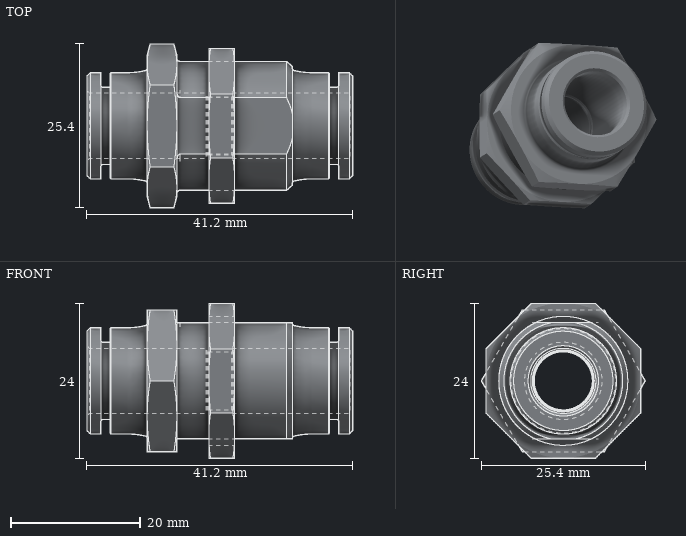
import cadquery as cq
import math

LENGTH = 41.2
MID_X = LENGTH / 2

COLLAR_R = 8.25
COLLAR_END_X = 2.2
COLLAR_CHAMFER = 0.55

GROOVE_R = 6.0
GROOVE_FILLET = 0.3
GROOVE_END_X = 3.6

SLEEVE_R = COLLAR_R
SLEEVE_CHAMFER = 0.15
FLARE_START_X = 6.35
FLARE_R = 8.55
BODY_X = 9.35
SLEEVE_FILLET = 0.4

BODY_R = 10.0
BODY_END_X = LENGTH - BODY_X
BODY_CHAMFER_LENGTH = 0.9
BODY_CHAMFER_DEPTH = 0.8
ACROSS_BODY_FLATS = 18.0

HEX_ACROSS_FLATS = 22.0
HEX_WIDTH = 4.6
HEX_END_X = BODY_X + HEX_WIDTH
HEX_FILLET = 0.5

NUT_ACROSS_FLATS = 24.0
NUT_WIDTH = 4.0
NUT_X = 18.9

EDGE_CHAMFER_ANGLE = math.radians(15)

SOCKET_R = 5.05
SOCKET_CHAMFER = 0.4
SHOULDER_R = 4.8
SHOULDER_TAPER_LENGTH = 0.15
PASSAGE_R = 4.5
PASSAGE_CHAMFER = 0.15
PASSAGE_LENGTH = 4.0
SHOULDER_X = MID_X - PASSAGE_LENGTH / 2


def revolve_about_x(profile):
    """Turn a closed XY profile into a solid around the X axis."""
    return profile.close().revolve(360, (0, 0, 0), (1, 0, 0))


def mirror_end(solid):
    """Copy a feature of the left end to the right end."""
    return solid.mirror("YZ", (MID_X, 0, 0))


def quarter_arc_mid(center_x, center_r, radius, direction_x):
    """Middle point of a fillet arc on the axis-facing side of its centre."""
    offset = radius / math.sqrt(2)
    return (center_x + direction_x * offset, center_r - offset)


def chamfered_prism(sides, across_flats, start_x, width, first_corner_angle):
    """Regular prism along X whose corners are turned down to the across-flats circle at both faces."""
    corner_r = across_flats / 2 / math.cos(math.pi / sides)
    angles = [first_corner_angle + 2 * math.pi * i / sides for i in range(sides)]
    corners = [(corner_r * math.cos(a), corner_r * math.sin(a)) for a in angles]
    prism = cq.Workplane("YZ").workplane(offset=start_x).polyline(corners).close().extrude(width)

    face_r = across_flats / 2
    chamfer_length = (corner_r - face_r) * math.tan(EDGE_CHAMFER_ANGLE)
    turned_blank = revolve_about_x(
        cq.Workplane("XY")
        .moveTo(start_x, 0)
        .lineTo(start_x, face_r)
        .lineTo(start_x + chamfer_length, corner_r)
        .lineTo(start_x + width - chamfer_length, corner_r)
        .lineTo(start_x + width, face_r)
        .lineTo(start_x + width, 0)
    )
    return prism.intersect(turned_blank)


def make_connector_end():
    """Left end: release collar, groove and flared sleeve, as a solid reaching to mid-length."""
    groove_arc_x = COLLAR_END_X + GROOVE_FILLET
    groove_arc_r = GROOVE_R + GROOVE_FILLET

    flare_end_x = BODY_X - SLEEVE_FILLET
    flare_length = flare_end_x - FLARE_START_X
    flare_rise = FLARE_R - SLEEVE_R
    flare_radius = (flare_length**2 + flare_rise**2) / (2 * flare_rise)
    half_length = flare_length / 2
    half_rise = flare_radius - math.sqrt(flare_radius**2 - half_length**2)

    fillet_end_r = FLARE_R + SLEEVE_FILLET
    return revolve_about_x(
        cq.Workplane("XY")
        .moveTo(0, 0)
        .lineTo(0, COLLAR_R - COLLAR_CHAMFER)
        .lineTo(COLLAR_CHAMFER, COLLAR_R)
        .lineTo(COLLAR_END_X, COLLAR_R)
        .lineTo(COLLAR_END_X, groove_arc_r)
        .threePointArc(
            quarter_arc_mid(groove_arc_x, groove_arc_r, GROOVE_FILLET, -1),
            (groove_arc_x, GROOVE_R),
        )
        .lineTo(GROOVE_END_X, GROOVE_R)
        .lineTo(GROOVE_END_X, SLEEVE_R - SLEEVE_CHAMFER)
        .lineTo(GROOVE_END_X + SLEEVE_CHAMFER, SLEEVE_R)
        .lineTo(FLARE_START_X, SLEEVE_R)
        .threePointArc((FLARE_START_X + half_length, SLEEVE_R + half_rise), (flare_end_x, FLARE_R))
        .threePointArc(
            quarter_arc_mid(flare_end_x, fillet_end_r, SLEEVE_FILLET, 1),
            (BODY_X, fillet_end_r),
        )
        .lineTo(MID_X, fillet_end_r)
        .lineTo(MID_X, 0)
    )


def make_threaded_body():
    """Round body with a fillet at the hexagon, a chamfered far end and flats on top and bottom."""
    fillet_end_x = HEX_END_X + HEX_FILLET
    fillet_top_r = BODY_R + HEX_FILLET
    body = revolve_about_x(
        cq.Workplane("XY")
        .moveTo(HEX_END_X, 0)
        .lineTo(HEX_END_X, fillet_top_r)
        .threePointArc(
            quarter_arc_mid(fillet_end_x, fillet_top_r, HEX_FILLET, -1),
            (fillet_end_x, BODY_R),
        )
        .lineTo(BODY_END_X - BODY_CHAMFER_LENGTH, BODY_R)
        .lineTo(BODY_END_X, BODY_R - BODY_CHAMFER_DEPTH)
        .lineTo(BODY_END_X, 0)
    )
    body_length = BODY_END_X - HEX_END_X
    between_flats = (
        cq.Workplane("XY")
        .box(body_length, 2 * fillet_top_r, ACROSS_BODY_FLATS, centered=(False, True, True))
        .translate((HEX_END_X, 0, 0))
    )
    return body.intersect(between_flats)


def make_bore_half():
    """Cutter for the left half of the bore, from the mouth chamfer to mid-length."""
    return revolve_about_x(
        cq.Workplane("XY")
        .moveTo(0, 0)
        .lineTo(0, SOCKET_R + SOCKET_CHAMFER)
        .lineTo(SOCKET_CHAMFER, SOCKET_R)
        .lineTo(SHOULDER_X - SHOULDER_TAPER_LENGTH, SOCKET_R)
        .lineTo(SHOULDER_X, SHOULDER_R)
        .lineTo(SHOULDER_X, PASSAGE_R + PASSAGE_CHAMFER)
        .lineTo(SHOULDER_X + PASSAGE_CHAMFER, PASSAGE_R)
        .lineTo(MID_X, PASSAGE_R)
        .lineTo(MID_X, 0)
    )


def make_fitting():
    hexagon = chamfered_prism(6, HEX_ACROSS_FLATS, BODY_X, HEX_WIDTH, 0)
    connector_end = make_connector_end()
    bore_half = make_bore_half()
    solid = hexagon.union(make_threaded_body())
    solid = solid.union(connector_end).union(mirror_end(connector_end))
    return solid.cut(bore_half).cut(mirror_end(bore_half))


def make_lock_nut():
    """Octagonal nut with a round hole that fits the body's diameter."""
    sides = 8
    blank = chamfered_prism(sides, NUT_ACROSS_FLATS, NUT_X, NUT_WIDTH, math.pi / sides)
    hole = cq.Workplane("YZ").workplane(offset=NUT_X).circle(BODY_R).extrude(NUT_WIDTH)
    return blank.cut(hole)


fitting = make_fitting()
lock_nut = make_lock_nut()
result = cq.Compound.makeCompound([fitting.solids().val(), lock_nut.solids().val()])